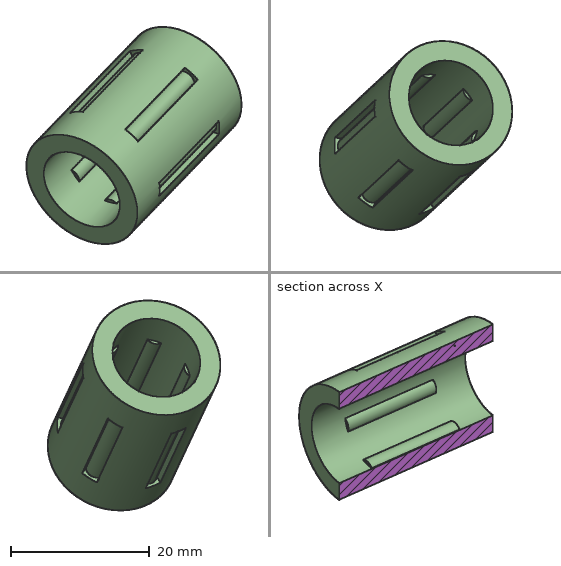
import cadquery as cq

outer_diameter = 19.0
bore_diameter = 13.0
sleeve_length = 28.0

rollers_per_ring = 6
roller_pitch_angle = 360.0 / rollers_per_ring
roller_pitch_diameter = 15.0
roller_diameter = 3.0
roller_length = 16.0

outer_ring_angle = 0.0
inner_ring_angle = 40.0
window_width = 2.5


def make_sleeve():
    """Plain tube centred on the origin."""
    profile = cq.Workplane("XZ").circle(outer_diameter / 2).circle(bore_diameter / 2)
    return profile.extrude(sleeve_length / 2, both=True)


def make_roller():
    """Roller on the +X side, parallel to the sleeve axis."""
    profile = cq.Workplane("XZ").center(roller_pitch_diameter / 2, 0).circle(roller_diameter / 2)
    return profile.extrude(roller_length / 2, both=True)


def make_window():
    """Straight-sided window on the +X side, from the roller surface out past the sleeve."""
    opening = cq.Workplane("XY").box(
        outer_diameter / 2, roller_length, window_width, centered=(False, True, True)
    )
    return opening.translate((roller_pitch_diameter / 2, 0, 0)).cut(make_roller())


def make_inner_bump():
    """The side of a roller that stands proud of the bore, on the +X side."""
    bore = cq.Workplane("XZ").circle(bore_diameter / 2).extrude(sleeve_length / 2, both=True)
    return make_roller().intersect(bore)


def turn_about_axis(shape, angle):
    """Turn a shape on the +X side about the sleeve axis."""
    return shape.rotate((0, 0, 0), (0, 1, 0), -angle)


window = make_window()
inner_bump = make_inner_bump()

result = make_sleeve()
for index in range(rollers_per_ring):
    step_angle = index * roller_pitch_angle
    result = result.cut(turn_about_axis(window, outer_ring_angle + step_angle))
    result = result.union(turn_about_axis(inner_bump, inner_ring_angle + step_angle))